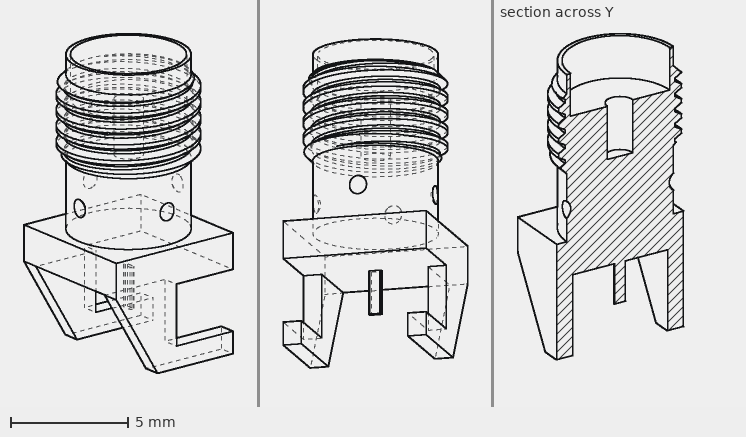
import cadquery as cq
import math

total_height = 13.34
flange_side = 6.35
flange_bottom_z = 3.81
flange_thickness = 1.65
flange_top_z = flange_bottom_z + flange_thickness
half_side = flange_side / 2

leg_thickness = 0.813
notch_floor_z = 1.016
notch_end_y = 0.1
leg_toe_y = -0.925

barrel_dia = 5.35
socket_dia = 4.95
socket_depth = 2.0
contact_hole_dia = 1.27
contact_hole_depth = 2.5
socket_floor_z = total_height - socket_depth

thread_dia = 6.17
thread_bottom_z = 8.66
thread_top_z = 12.44
thread_pitch = 0.715
thread_depth = 0.33
crest_width = 0.19
flank_angle = 30
cutter_overshoot = 0.1
groove_phase_z = 11.39

dimple_count = 4
dimple_dia = 0.8
dimple_sphere_dia = 1.0
dimple_z = 6.96

pin_width = 0.55
pin_thickness = 0.2
pin_chamfer = 0.05
pin_bottom_z = 1.91


def make_flange():
    return (
        cq.Workplane("XY")
        .workplane(offset=flange_bottom_z)
        .rect(flange_side, flange_side)
        .extrude(flange_thickness)
    )


def make_leg(start_x):
    """Hooked leg of one thickness, reaching from start_x toward +X."""
    outline = [
        (half_side, 0),
        (leg_toe_y, 0),
        (-half_side, flange_bottom_z),
        (-half_side, flange_top_z),
        (half_side, flange_top_z),
        (half_side, flange_bottom_z),
        (notch_end_y, flange_bottom_z),
        (notch_end_y, notch_floor_z),
        (half_side, notch_floor_z),
    ]
    return (
        cq.Workplane("YZ")
        .workplane(offset=start_x)
        .polyline(outline)
        .close()
        .extrude(leg_thickness)
    )


def make_barrel():
    return (
        cq.Workplane("XY")
        .workplane(offset=flange_bottom_z)
        .circle(barrel_dia / 2)
        .extrude(total_height - flange_bottom_z)
    )


def make_thread_blank():
    """Solid collar with 45 degree chamfers running down to the barrel."""
    thread_radius = thread_dia / 2
    chamfer = (thread_dia - barrel_dia) / 2
    return (
        cq.Workplane("XY")
        .workplane(offset=thread_bottom_z)
        .circle(thread_radius)
        .extrude(thread_top_z - thread_bottom_z)
        .faces("<Z or >Z")
        .chamfer(chamfer)
    )


def make_groove_turn():
    """One turn of the groove cutter, its start centred on Z = 0 on the +X side."""
    root_radius = thread_dia / 2 - thread_depth
    outer_radius = thread_dia / 2 + cutter_overshoot
    flank_slope = math.tan(math.radians(flank_angle))
    mouth_half = (thread_pitch - crest_width) / 2
    root_half = mouth_half - thread_depth * flank_slope
    outer_half = mouth_half + cutter_overshoot * flank_slope

    helix = cq.Wire.makeHelix(thread_pitch, thread_pitch, root_radius)
    profile = (
        cq.Workplane("XZ")
        .moveTo(root_radius, -root_half)
        .lineTo(outer_radius, -outer_half)
        .lineTo(outer_radius, outer_half)
        .lineTo(root_radius, root_half)
        .close()
    )
    return profile.sweep(cq.Workplane(helix), isFrenet=True)


def make_thread():
    """Collar with the groove cut turn by turn, running out past both ends."""
    turns_below = math.ceil((groove_phase_z - thread_bottom_z) / thread_pitch) + 1
    turns_above = math.ceil((thread_top_z - groove_phase_z) / thread_pitch) + 1
    groove_turn = make_groove_turn()
    thread = make_thread_blank()
    for turn in range(-turns_below, turns_above):
        turn_z = groove_phase_z + turn * thread_pitch
        thread = thread.cut(groove_turn.translate((0, 0, turn_z)))
    return thread


def make_dimples():
    """Spheres centred outside the barrel that cut shallow dimples dimple_dia across."""
    sphere_radius = dimple_sphere_dia / 2
    rim_radius = dimple_dia / 2
    centre_distance = barrel_dia / 2 + math.sqrt(sphere_radius**2 - rim_radius**2)
    dimples = cq.Workplane("XY")
    for index in range(dimple_count):
        dimple = (
            cq.Workplane("XY")
            .sphere(sphere_radius)
            .translate((centre_distance, 0, dimple_z))
            .rotate((0, 0, 0), (0, 0, 1), index * 360 / dimple_count)
        )
        dimples = dimples.add(dimple)
    return dimples.combine()


def make_bore():
    socket = (
        cq.Workplane("XY")
        .workplane(offset=socket_floor_z)
        .circle(socket_dia / 2)
        .extrude(socket_depth)
    )
    contact_hole = (
        cq.Workplane("XY")
        .workplane(offset=socket_floor_z)
        .circle(contact_hole_dia / 2)
        .extrude(-contact_hole_depth)
    )
    return socket.union(contact_hole)


def make_pin():
    return (
        cq.Workplane("XY")
        .workplane(offset=pin_bottom_z)
        .rect(pin_width, pin_thickness)
        .extrude(flange_top_z - pin_bottom_z)
        .edges("|Z")
        .chamfer(pin_chamfer)
    )


result = (
    make_flange()
    .union(make_leg(-half_side))
    .union(make_leg(half_side - leg_thickness))
    .union(make_barrel())
    .union(make_thread())
    .cut(make_dimples())
    .cut(make_bore())
    .union(make_pin())
)